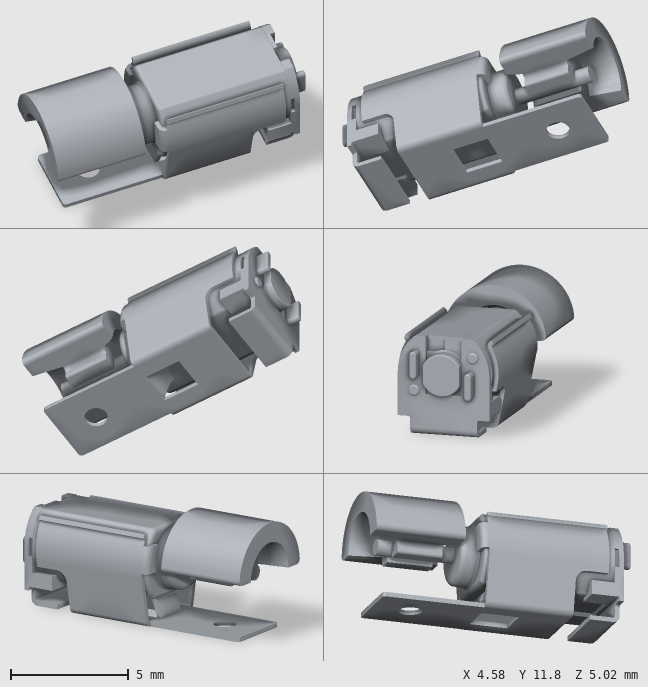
import cadquery as cq
import math


weight_radius = 2.3
overall_height = 5.02
axis_z = overall_height - weight_radius

can_radius = 2.03
can_half_height = 1.56
can_corner_fillet = 0.18
can_front_y = 4.97
can_rear_y = 10.81
can_rim_fillet = 0.19

boss_radius = 1.3
boss_front_y = 4.17
boss_fillet = 0.25
boss_foot_fillet = 0.08
shaft_radius = 0.35
shaft_front_y = 0.74

weight_length = 4.02
weight_corner_fillet = 0.21
socket_mouth_radius = 1.43
hub_radius = 1.2
hub_front_y = 1.37
hub_rear_y = 3.41
leg_half_width = 1.0
leg_bottom_z = 2.21
leg_fillet = 0.12
leg_root_fillet = 0.2
shaft_slot_width = 0.62

sheet = 0.2
clip_radius = can_radius + sheet
clip_front_y = 5.11
clip_rear_y = 10.49
side_rear_y = 9.05
side_notch_z = 1.94
side_notch_fillet = 0.47
wall_angle = 11.5
curl_start_angle = 29.6
curl_end_angle = 111.0
curl_radius = 0.12
bend_inner_radius = 0.09

tab_top_rise = 0.94
tab_bottom_drop = 0.25
tab_top_inner_x = 1.41
tab_bottom_inner_x = 1.54
tab_bend_radius = 0.28

base_half_width = 1.5
base_front_y = 0.56
base_corner_fillet = 0.14
hole_diameter = 1.0
hole_y = 2.29
spring_width = 1.53
spring_root_y = 5.04
spring_knee_rise = 0.93
spring_knee_run = 0.28
spring_tip_run = 0.24
spring_window_length = 1.88

plate_radius = 2.05
plate_half_height = 1.59
cap_rear_y = 11.0
block_front_y = 9.78
block_inner_x = 0.9
block_bottom_z = 0.96
block_top_z = 1.59
cap_notch_depth = 0.18
cap_notch_half_height = 0.41

bracket_sheet = 0.21
bracket_rear_y = cap_rear_y + bracket_sheet
shoulder_z = 0.79
shoulder_fillet = 0.1
foot_half_width = 1.49
foot_front_y = 9.88
foot_bend_inner_radius = 0.09

rear_boss_radius = 0.92
rear_boss_flat_x = 0.8
rear_boss_end_y = 11.57
rear_boss_edge = 0.06
rear_boss_flare = 0.09
pin_end_y = 11.75
pin_x = 1.22
pin_width = 0.3
pin_height = 1.19
pin_drop = 0.4
pin_edge = 0.07
rivet_x = 1.3
rivet_rise = 0.78
rivet_radius = 0.25
rivet_height = 0.1
rivet_edge = 0.06

beyond = 11.75


def section(y, z=axis_z):
    """Sketch plane across the axis; local y is Z and a negative extrusion runs toward +Y."""
    return cq.Workplane("XZ", origin=(0, y, z))


def box(x0, x1, y0, y1, z0, z1):
    return cq.Workplane("XY").box(x1 - x0, y1 - y0, z1 - z0, centered=False).translate((x0, y0, z0))


def rod(radius, y0, y1, x=0.0, z=axis_z):
    return section(y0, z).center(x, 0).circle(radius).extrude(y0 - y1)


def cone(start_radius, end_radius, y0, y1):
    start = cq.Vector(0, y0, axis_z)
    direction = cq.Vector(0, y1 - y0, 0)
    return cq.Workplane(cq.Solid.makeCone(start_radius, end_radius, abs(y1 - y0), start, direction))


def mirrored(half):
    return half.union(half.mirror("YZ"))


def inner_rounding(wall_x, y0, y1, ceiling_z, radius):
    """Concave fillets where walls at +/- wall_x hang from a flat ceiling."""
    center_x = wall_x + radius
    center_z = ceiling_z - radius
    corner = box(wall_x, center_x, y0, y1, center_z, ceiling_z)
    return mirrored(corner.cut(rod(radius, y0, y1, center_x, center_z)))


def flatted_cylinder(radius, half_height, y0, y1):
    """Cylinder about the motor axis with flats on top and bottom."""
    slab = box(-radius, radius, y0, y1, axis_z - half_height, axis_z + half_height)
    return rod(radius, y0, y1).intersect(slab)


def make_motor():
    can = flatted_cylinder(can_radius, can_half_height, can_front_y, can_rear_y)
    can = can.edges("|Y").fillet(can_corner_fillet)
    can = can.faces("<Y").edges().fillet(can_rim_fillet)
    boss = rod(boss_radius, boss_front_y, can_rear_y).faces("<Y").edges().fillet(boss_fillet)
    motor = can.union(boss)
    foot_y = can_front_y - boss_foot_fillet
    foot = cone(boss_radius, boss_radius + boss_foot_fillet, foot_y, can_front_y)
    return motor.union(foot).union(rod(shaft_radius, shaft_front_y, can_rear_y))


def make_weight():
    upper = box(-beyond, beyond, 0, beyond, axis_z, beyond)
    weight = rod(weight_radius, 0, weight_length).intersect(upper)
    weight = weight.edges("|Y").edges("<X or >X").fillet(weight_corner_fillet)
    weight = weight.cut(cone(socket_mouth_radius, hub_radius, 0, hub_front_y))
    weight = weight.cut(cone(socket_mouth_radius, hub_radius, weight_length, hub_rear_y))
    legs = box(-leg_half_width, leg_half_width, hub_front_y, hub_rear_y, leg_bottom_z, axis_z)
    legs = legs.edges("|Y and <Z").fillet(leg_fillet)
    half_slot = shaft_slot_width / 2
    slot = box(-half_slot, half_slot, hub_front_y, hub_rear_y, leg_bottom_z, axis_z)
    root = inner_rounding(leg_half_width, hub_front_y, hub_rear_y, axis_z, leg_root_fillet)
    return weight.union(legs).union(root).cut(slot)


def polar(radius, degrees, center=(0.0, axis_z)):
    angle = math.radians(degrees)
    return center[0] + radius * math.cos(angle), center[1] + radius * math.sin(angle)


def wall_foot_x(radius, z):
    """X where the sloped wall tangent to a circle about the axis meets height z."""
    angle = math.radians(wall_angle)
    return (radius - (axis_z - z) * math.sin(angle)) / math.cos(angle)


def make_clip_shell():
    curl_center = polar(clip_radius + curl_radius, curl_start_angle)
    curl_middle = (curl_start_angle + 180 + curl_end_angle) / 2
    lip_radius = curl_radius + sheet
    arc_middle = (curl_start_angle - wall_angle) / 2
    half = (
        section(clip_front_y, 0)
        .lineTo(wall_foot_x(clip_radius, 0), 0)
        .lineTo(*polar(clip_radius, -wall_angle))
        .threePointArc(polar(clip_radius, arc_middle), polar(clip_radius, curl_start_angle))
        .threePointArc(
            polar(curl_radius, curl_middle, curl_center), polar(curl_radius, curl_end_angle, curl_center)
        )
        .lineTo(*polar(lip_radius, curl_end_angle, curl_center))
        .threePointArc(
            polar(lip_radius, curl_middle, curl_center), polar(can_radius, curl_start_angle)
        )
        .threePointArc(polar(can_radius, arc_middle), polar(can_radius, -wall_angle))
        .lineTo(wall_foot_x(can_radius, sheet), sheet)
        .lineTo(0, sheet)
        .close()
        .extrude(clip_front_y - clip_rear_y)
    )
    shell = mirrored(half)
    shell = shell.edges("|Y and <Z").fillet(bend_inner_radius + sheet)
    inner_x = wall_foot_x(can_radius, sheet)
    for x in (-inner_x, inner_x):
        bend_line = cq.selectors.NearestToPointSelector((x, (clip_front_y + clip_rear_y) / 2, sheet))
        shell = shell.edges("|Y").edges(bend_line).fillet(bend_inner_radius)
    side_gap = box(-beyond, beyond, side_rear_y, beyond, -0.12, side_notch_z)
    return shell.cut(side_gap.edges("|X and <Y and >Z").fillet(side_notch_fillet))


def make_clip_tab():
    """Front tab that bends inward over the rim of the can."""
    tab_front_y = can_front_y - sheet
    cup = rod(clip_radius, tab_front_y, clip_front_y).faces("<Y").edges().fillet(tab_bend_radius)
    cup = cup.cut(rod(can_radius, can_front_y, clip_front_y))
    strip = (
        section(tab_front_y)
        .moveTo(tab_bottom_inner_x, -tab_bottom_drop)
        .lineTo(beyond, -tab_bottom_drop)
        .lineTo(beyond, tab_top_rise)
        .lineTo(tab_top_inner_x, tab_top_rise)
        .close()
        .extrude(tab_front_y - clip_front_y)
    )
    return cup.intersect(strip)


def make_clip_base():
    base = box(-base_half_width, base_half_width, base_front_y, clip_front_y, 0, sheet)
    base = base.edges("|Z and <Y").fillet(base_corner_fillet)
    hole = cq.Workplane("XY").center(0, hole_y).circle(hole_diameter / 2).extrude(sheet)
    return base.cut(hole)


def make_spring():
    """Tongue that leans up from the base, then flattens toward the underside of the can."""
    knee_y = spring_root_y + spring_knee_run
    tip_y = knee_y + spring_tip_run
    tip_z = axis_z - can_half_height
    return (
        cq.Workplane("YZ", origin=(-spring_width / 2, 0, 0))
        .moveTo(spring_root_y, 0)
        .lineTo(spring_root_y, sheet)
        .lineTo(knee_y, spring_knee_rise)
        .lineTo(tip_y, tip_z)
        .lineTo(tip_y + sheet, tip_z)
        .lineTo(knee_y + sheet, spring_knee_rise)
        .lineTo(spring_root_y + sheet, sheet)
        .lineTo(spring_root_y + sheet, 0)
        .close()
        .extrude(spring_width)
    )


def make_spring_window():
    """Opening left in the base behind the root of the spring tongue."""
    half_width = spring_width / 2
    return box(-half_width, half_width, spring_root_y, spring_root_y + spring_window_length, 0, sheet)


def make_end_plate(y0, y1, bottom_z):
    """Plate with a flat-topped round outline above the axis and straight sides below it."""
    lower = box(-plate_radius, plate_radius, y0, y1, bottom_z, axis_z)
    upper = flatted_cylinder(plate_radius, plate_half_height, y0, y1)
    return upper.intersect(box(-beyond, beyond, y0, y1, axis_z, beyond)).union(lower)


def make_cap():
    cap = make_end_plate(can_rear_y, cap_rear_y, block_bottom_z)
    block = box(block_inner_x, plate_radius, block_front_y, cap_rear_y, block_bottom_z, block_top_z)
    edge_notch = box(
        plate_radius - cap_notch_depth, plate_radius, can_rear_y, cap_rear_y,
        axis_z - cap_notch_half_height, axis_z + cap_notch_half_height,
    )
    top_notch = box(0, rear_boss_flat_x, can_rear_y, cap_rear_y, axis_z + rear_boss_radius, beyond)
    return cap.union(mirrored(block)).cut(mirrored(edge_notch)).cut(top_notch)


def make_bracket():
    plate = make_end_plate(cap_rear_y, bracket_rear_y, shoulder_z)
    boss_slot = box(
        -rear_boss_flat_x, rear_boss_flat_x, cap_rear_y, bracket_rear_y, axis_z - rear_boss_radius, beyond
    )
    leg = (
        cq.Workplane("YZ", origin=(-foot_half_width, 0, 0))
        .moveTo(bracket_rear_y, shoulder_z)
        .lineTo(bracket_rear_y, 0)
        .lineTo(foot_front_y, 0)
        .lineTo(foot_front_y, sheet)
        .lineTo(cap_rear_y, sheet)
        .lineTo(cap_rear_y, shoulder_z)
        .close()
        .extrude(2 * foot_half_width)
    )
    leg = leg.edges("|X and <Z and >Y").fillet(foot_bend_inner_radius + bracket_sheet)
    inner_bend = cq.selectors.NearestToPointSelector((0, cap_rear_y, sheet))
    leg = leg.edges("|X").edges(inner_bend).fillet(foot_bend_inner_radius)
    root = inner_rounding(foot_half_width, cap_rear_y, bracket_rear_y, shoulder_z, shoulder_fillet)
    return plate.cut(boss_slot).union(leg).union(root)


def make_rear_boss():
    boss = rod(rear_boss_radius, cap_rear_y, rear_boss_end_y).faces(">Y").edges().fillet(rear_boss_edge)
    flare = cone(
        rear_boss_radius + rear_boss_flare, rear_boss_radius, cap_rear_y, cap_rear_y + rear_boss_flare
    )
    flats = box(-rear_boss_flat_x, rear_boss_flat_x, cap_rear_y, rear_boss_end_y, 0, beyond)
    return boss.union(flare).intersect(flats)


def make_terminal():
    """Upright round-ended pin beside a rivet head, on the -X side."""
    pin = section(cap_rear_y).center(-pin_x, -pin_drop).slot2D(pin_height, pin_width, 90)
    pin = pin.extrude(cap_rear_y - pin_end_y).faces(">Y").edges().fillet(pin_edge)
    rivet = rod(rivet_radius, cap_rear_y, bracket_rear_y + rivet_height, -rivet_x, axis_z + rivet_rise)
    return pin.union(rivet.faces(">Y").edges().chamfer(rivet_edge))


motor = make_motor().union(make_cap()).union(make_bracket()).union(make_rear_boss())
terminal = make_terminal()
opposite_terminal = terminal.rotate((0, 0, axis_z), (0, 1, axis_z), 180)
motor = motor.union(terminal).union(opposite_terminal)

clip = make_clip_shell().union(mirrored(make_clip_tab())).union(make_clip_base())
clip = clip.cut(make_spring_window()).union(make_spring())

result = motor.union(make_weight()).union(clip)